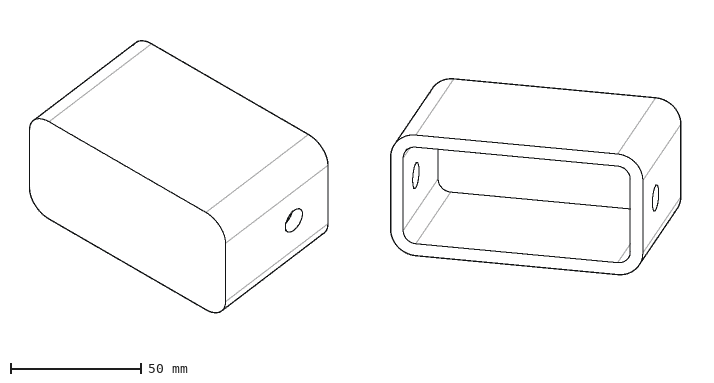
import cadquery as cq

LENGTH_X = 100.0
DEPTH_Y = 60.0
HEIGHT_Z = 50.0
CORNER_RADIUS = 10.0
WALL = 5.0
HOLE_DIAMETER = 10.0
HOLE_FROM_OPEN_END = 20.0

BACK_Y = DEPTH_Y / 2
FRONT_Y = -BACK_Y
HOLE_Y = BACK_Y - HOLE_FROM_OPEN_END


def rounded_block(length, depth, height, radius, start_y):
    """Block centred on X and Z, running along +Y from start_y, rounded along its Y edges."""
    return (
        cq.Workplane("XY")
        .box(length, depth, height, centered=(True, False, True))
        .edges("|Y")
        .fillet(radius)
        .translate((0, start_y, 0))
    )


def make_shell():
    """Cup with an even wall, closed at -Y and open at +Y."""
    outer = rounded_block(LENGTH_X, DEPTH_Y, HEIGHT_Z, CORNER_RADIUS, FRONT_Y)
    cavity = rounded_block(
        LENGTH_X - 2 * WALL,
        DEPTH_Y - WALL,
        HEIGHT_Z - 2 * WALL,
        CORNER_RADIUS - WALL,
        FRONT_Y + WALL,
    )
    return outer.cut(cavity)


def make_cross_hole():
    """Cylinder along X that pierces both side walls."""
    return (
        cq.Workplane("YZ", origin=(-LENGTH_X / 2, 0, 0))
        .center(HOLE_Y, 0)
        .circle(HOLE_DIAMETER / 2)
        .extrude(LENGTH_X)
    )


result = make_shell().cut(make_cross_hole())